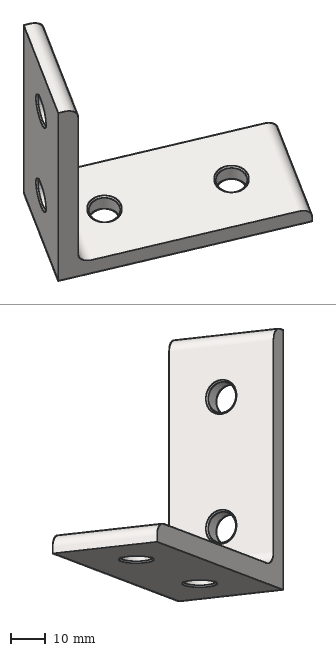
import cadquery as cq

width = 34.0
leg_length = 76.0
thickness = 6.0
fillet_radius = 4.0
hole_diameter = 9.0
hole_chamfer = 0.5
hole_pitch = leg_length / 2
hole_offsets = (leg_length / 4, leg_length / 4 + hole_pitch)


def angle_bar():
    """L-shaped bar with its outer corner on the X axis, centred on X."""
    tip_flat = thickness - fillet_radius
    shoulder = leg_length - fillet_radius
    inner_end = thickness + fillet_radius
    profile = (
        cq.Workplane("YZ", origin=(-width / 2, 0, 0))
        .lineTo(leg_length, 0)
        .lineTo(leg_length, tip_flat)
        .radiusArc((shoulder, thickness), -fillet_radius)
        .lineTo(inner_end, thickness)
        .radiusArc((thickness, inner_end), fillet_radius)
        .lineTo(thickness, shoulder)
        .radiusArc((tip_flat, leg_length), -fillet_radius)
        .lineTo(0, leg_length)
        .close()
    )
    return profile.extrude(width)


def hole_cutter(start, direction):
    """Through-hole tool, chamfered at both faces of a leg, starting at one face."""
    radius = hole_diameter / 2
    mouth_radius = radius + hole_chamfer
    end = start + direction * thickness
    bore = cq.Solid.makeCylinder(radius, thickness, start, direction)
    entry = cq.Solid.makeCone(mouth_radius, radius, hole_chamfer, start, direction)
    leaving = cq.Solid.makeCone(mouth_radius, radius, hole_chamfer, end, -direction)
    return bore.fuse(entry, leaving)


result = angle_bar()
for offset in hole_offsets:
    result = result.cut(cq.Workplane(hole_cutter(cq.Vector(0, offset, 0), cq.Vector(0, 0, 1))))
    result = result.cut(cq.Workplane(hole_cutter(cq.Vector(0, 0, offset), cq.Vector(0, 1, 0))))